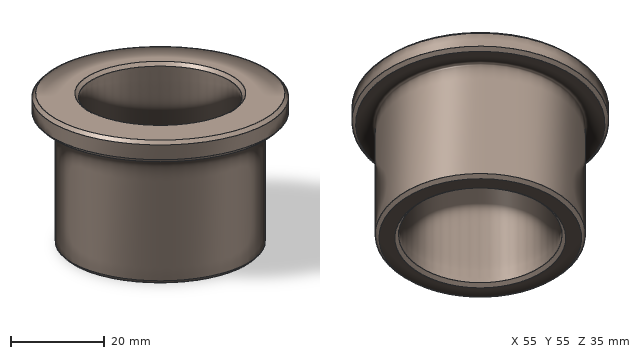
import cadquery as cq

bore_diameter = 35.0
sleeve_diameter = 45.0
flange_diameter = 55.0
total_height = 35.0
flange_thickness = 5.0
edge_chamfer = 0.8
neck_fillet_radius = 0.8

sleeve_length = total_height - flange_thickness


def make_sleeve_and_flange():
    """Solid stepped cylinder with the flange at the top."""
    sleeve = cq.Workplane("XY").circle(sleeve_diameter / 2).extrude(sleeve_length)
    flange = (
        cq.Workplane("XY")
        .workplane(offset=sleeve_length)
        .circle(flange_diameter / 2)
        .extrude(flange_thickness)
    )
    return sleeve.union(flange)


def round_neck(body):
    """Fillet the inside corner where the sleeve meets the flange."""
    neck_edge = cq.selectors.RadiusNthSelector(0)
    return body.faces("<Z[1]").edges(neck_edge).fillet(neck_fillet_radius)


def cut_bore(body):
    """Through bore along the axis."""
    return body.faces(">Z").workplane().hole(bore_diameter)


def break_edges(body):
    """Chamfer the rims of the bore, the sleeve end and both sides of the flange."""
    flange_rims = cq.selectors.RadiusNthSelector(-1)
    end_rims = body.faces("<Z or >Z").edges()
    return end_rims.add(body.edges(flange_rims)).chamfer(edge_chamfer)


result = break_edges(cut_bore(round_neck(make_sleeve_and_flange())))